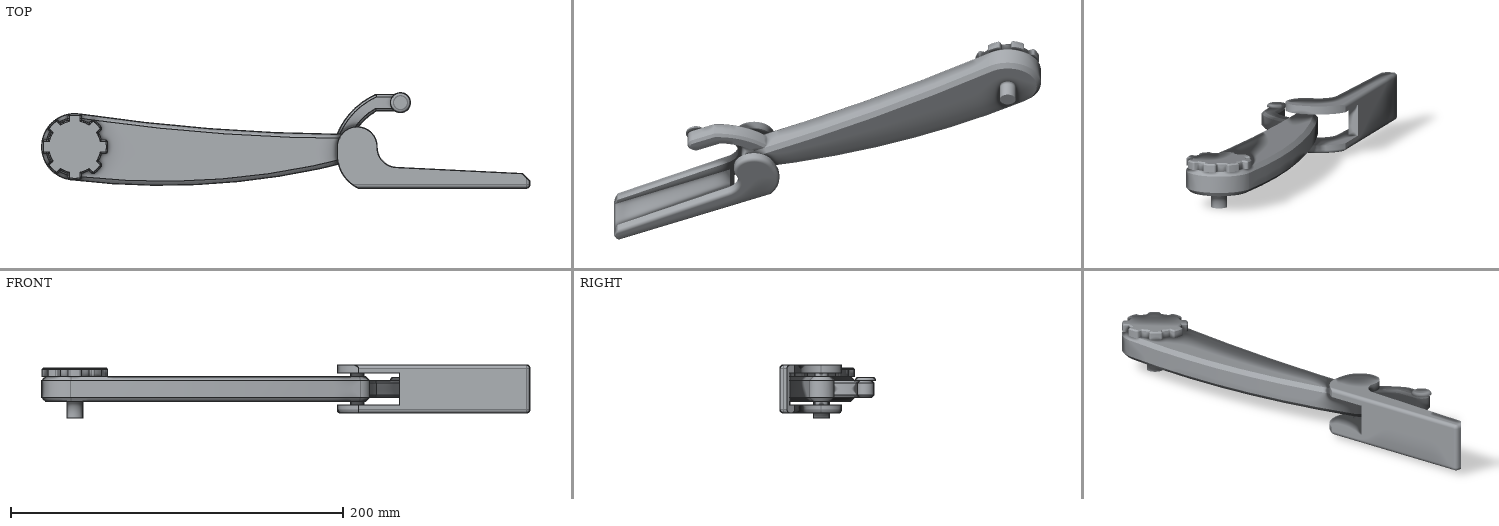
import cadquery as cq
import math


head_radius = 20.0
pivot_x = 170.0
neck_radius = 7.5
handle_thickness = 15.0
handle_top = handle_thickness / 2
handle_chamfer = 2.5
belly_radius = 450.0

knob_height = 5.0
knob_radius = 19.8
knob_root_radius = 16.5
tooth_count = 8
tooth_width = 8.0
tooth_corner_radius = 1.2
knob_edge_chamfer = 0.8

drive_pin_radius = 4.8
drive_pin_length = 10.0

arm_thickness = 10.0
arm_top = arm_thickness / 2
arm_width = 10.0
arm_chamfer = 1.5
arm_bend_x, arm_bend_y = 199.8, -10.0
arm_outer_radius = 45.5
arm_inner_radius = 36.5
button_x, button_y = 196.0, 26.57
button_radius = 6.0
button_height = 2.0
button_fillet = 1.8

lever_height = 29.0
lever_top = lever_height / 2
plate_thickness = 5.0
slot_top = lever_top - plate_thickness
eye_radius = 12.0
back_y = -25.0
heel_radius = 22.0
heel_start_y = -5.0
throat_radius = 12.0
end_x = 273.93
tip_top_x, tip_top_y = 269.3, -16.1
grip_slope = math.radians(2.8)
web_start_x = 195.4
web_thickness = 6.0
lever_fillet = 2.2
heel_fillet = 2.0

trunnion_radius = 4.0


def point_on(center, radius, angle):
    return (center[0] + radius * math.cos(angle), center[1] + radius * math.sin(angle))


def disc(center, radius, bottom, height):
    return cq.Workplane("XY", origin=(*center, bottom)).circle(radius).extrude(height)


head_center = (0.0, 0.0)
pivot = (pivot_x, 0.0)


def handle_bar():
    """Bar whose two long sides are arcs tangent to the head circle and the neck circle."""
    hollow_radius = (pivot_x**2 + neck_radius**2 - head_radius**2) / (2 * (head_radius - neck_radius))
    hollow_center = (pivot_x, neck_radius + hollow_radius)
    hollow_angle = math.atan2(hollow_center[1], hollow_center[0])
    hollow_mid_angle = (hollow_angle - math.pi / 2) / 2 - math.pi / 2

    to_head = belly_radius - head_radius
    to_neck = belly_radius - neck_radius
    belly_x = (pivot_x**2 + to_head**2 - to_neck**2) / (2 * pivot_x)
    belly_center = (belly_x, math.sqrt(to_head**2 - belly_x**2))
    belly_head_angle = math.atan2(-belly_center[1], -belly_x)
    belly_neck_angle = math.atan2(-belly_center[1], pivot_x - belly_x)
    belly_mid_angle = (belly_head_angle + belly_neck_angle) / 2

    return (
        cq.Workplane("XY", origin=(0, 0, -handle_top))
        .moveTo(*point_on(head_center, head_radius, hollow_angle))
        .threePointArc((-head_radius, 0), point_on(head_center, head_radius, belly_head_angle))
        .threePointArc(
            point_on(belly_center, belly_radius, belly_mid_angle),
            point_on(pivot, neck_radius, belly_neck_angle),
        )
        .threePointArc((pivot_x + neck_radius, 0), (pivot_x, neck_radius))
        .threePointArc(
            point_on(hollow_center, hollow_radius, hollow_mid_angle),
            point_on(head_center, head_radius, hollow_angle),
        )
        .close()
        .extrude(handle_thickness)
        .faces("<Z or >Z")
        .chamfer(handle_chamfer)
    )


def knob():
    """Disc with evenly spaced rounded teeth and a chamfered top rim."""
    root = disc(head_center, knob_root_radius, handle_top, knob_height)
    rim = disc(head_center, knob_radius, handle_top, knob_height)
    for index in range(tooth_count // 2):
        tooth_pair = (
            cq.Workplane("XY", origin=(0, 0, handle_top))
            .transformed(rotate=(0, 0, index * 360 / tooth_count))
            .rect(2 * knob_radius, tooth_width)
            .extrude(knob_height)
            .intersect(rim)
            .edges("|Z")
            .fillet(tooth_corner_radius)
        )
        root = root.union(tooth_pair)
    return root.faces(">Z").chamfer(knob_edge_chamfer)


def hooked_arm():
    """Curved arm that leaves the neck, bends to a straight end and carries a button."""
    bend = (arm_bend_x, arm_bend_y)
    half_width = arm_width / 2
    outer_y = button_y + half_width
    inner_y = button_y - half_width
    outer_angle = math.pi - math.asin((outer_y - arm_bend_y) / arm_outer_radius)
    inner_angle = math.pi - math.asin((inner_y - arm_bend_y) / arm_inner_radius)
    outer_root_angle = math.pi - math.asin(-arm_bend_y / arm_outer_radius)
    inner_root_angle = math.pi - math.asin(-arm_bend_y / arm_inner_radius)
    arm = (
        cq.Workplane("XY", origin=(0, 0, -arm_top))
        .moveTo(*point_on(bend, arm_outer_radius, outer_root_angle))
        .threePointArc(
            point_on(bend, arm_outer_radius, (outer_root_angle + outer_angle) / 2),
            point_on(bend, arm_outer_radius, outer_angle),
        )
        .lineTo(button_x, outer_y)
        .threePointArc((button_x + half_width, button_y), (button_x, inner_y))
        .lineTo(*point_on(bend, arm_inner_radius, inner_angle))
        .threePointArc(
            point_on(bend, arm_inner_radius, (inner_root_angle + inner_angle) / 2),
            point_on(bend, arm_inner_radius, inner_root_angle),
        )
        .close()
        .extrude(arm_thickness)
        .faces("<Z or >Z")
        .chamfer(arm_chamfer)
    )
    button = (
        cq.Workplane("XY", origin=(button_x, button_y, arm_top))
        .circle(button_radius)
        .extrude(button_height)
        .faces(">Z")
        .fillet(button_fillet)
    )
    return arm.union(button)


def make_handle():
    drive_pin = disc(head_center, drive_pin_radius, -handle_top - drive_pin_length, drive_pin_length)
    trunnions = disc(pivot, trunnion_radius, -slot_top, 2 * slot_top)
    return handle_bar().union(knob()).union(drive_pin).union(hooked_arm()).union(trunnions)


def lever_outline():
    """Eye, heel, slanted tip, sloping grip and throat, reaching past the flat back of the lever."""
    eye_left = pivot_x - eye_radius
    heel_center = (eye_left + heel_radius, heel_start_y)
    heel_bottom_y = heel_start_y - heel_radius
    tip_top = (tip_top_x, tip_top_y)
    tip_bottom_x = tip_top_x + tip_top_y - heel_bottom_y

    along = (math.cos(grip_slope), -math.sin(grip_slope))
    across = (math.sin(grip_slope), math.cos(grip_slope))
    eye_above_grip = (pivot_x - tip_top[0]) * across[0] - tip_top[1] * across[1]
    reach = math.sqrt((eye_radius + throat_radius) ** 2 - (throat_radius - eye_above_grip) ** 2)
    rise = throat_radius - eye_above_grip
    throat_center = (
        pivot_x + reach * along[0] + rise * across[0],
        reach * along[1] + rise * across[1],
    )
    throat_angle = math.atan2(throat_center[1], throat_center[0] - pivot_x)
    throat_end_angle = 1.5 * math.pi - grip_slope
    throat_mid_angle = (math.pi + throat_angle + throat_end_angle) / 2

    return (
        cq.Workplane("XY", origin=(0, 0, -lever_top))
        .moveTo(eye_left, 0)
        .lineTo(eye_left, heel_start_y)
        .threePointArc(
            point_on(heel_center, heel_radius, math.radians(225)),
            (heel_center[0], heel_bottom_y),
        )
        .lineTo(tip_bottom_x, heel_bottom_y)
        .lineTo(*tip_top)
        .lineTo(*point_on(throat_center, throat_radius, throat_end_angle))
        .threePointArc(
            point_on(throat_center, throat_radius, throat_mid_angle),
            point_on(pivot, eye_radius, throat_angle),
        )
        .threePointArc((pivot_x, eye_radius), (eye_left, 0))
        .close()
        .extrude(lever_height)
        .faces("<Z")
        .edges("<X")
        .fillet(heel_fillet)
    )


def lever_envelope():
    """Block that forms the flat back and the end of the lever, with their rounded edges."""
    return (
        cq.Workplane("XY")
        .box(end_x, eye_radius - back_y, lever_height, centered=(False, False, True))
        .translate((0, back_y, 0))
        .faces("<Y or >X")
        .edges("not (<X or >Y)")
        .fillet(lever_fillet)
    )


def make_lever():
    body = lever_outline().intersect(lever_envelope())
    slot = cq.Workplane("XY").box(2 * end_x, 4 * eye_radius - 2 * back_y, 2 * slot_top)
    web = (
        cq.Workplane("XY")
        .box(end_x - web_start_x, web_thickness, 2 * slot_top, centered=(False, False, True))
        .translate((web_start_x, back_y, 0))
    )
    return body.cut(slot.cut(web))


handle = make_handle()
lever = make_lever()
result = cq.Compound.makeCompound([handle.val(), lever.val()])